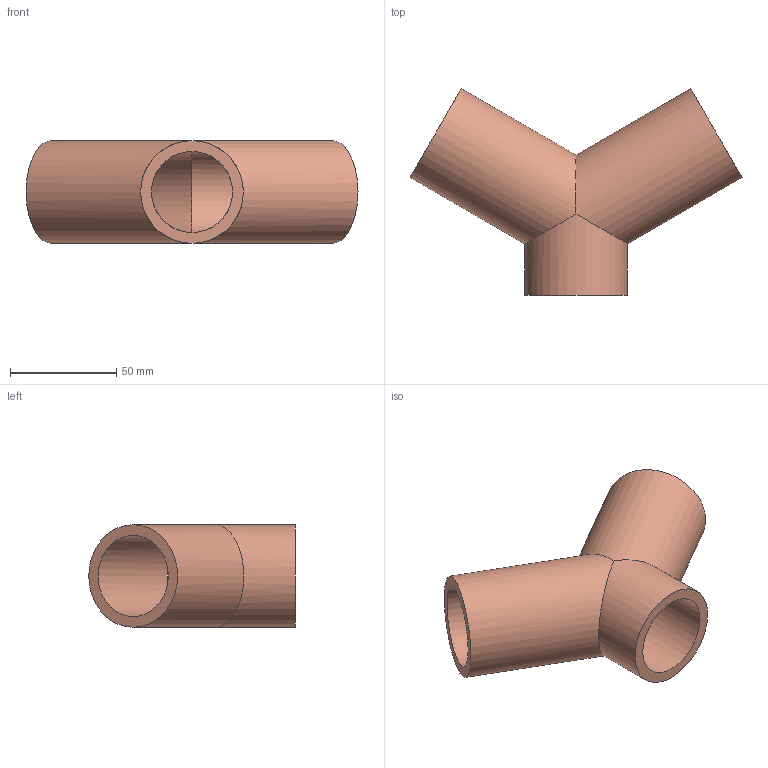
import cadquery as cq
import math

outer_diameter = 48.26
bore_diameter = 38.1
arm_length = 76.2
stem_length = arm_length / 2
arm_angle = 30

branches = [
    (arm_angle, arm_length),
    (180 - arm_angle, arm_length),
    (-90, stem_length),
]


def branch_cylinder(direction, length, diameter):
    """Cylinder from the origin along a direction in the XY plane."""
    angle = math.radians(direction)
    axis = cq.Vector(math.cos(angle), math.sin(angle), 0)
    return cq.Workplane(cq.Solid.makeCylinder(diameter / 2, length, cq.Vector(0, 0, 0), axis))


def joined_branches(diameter):
    """Union of the three branch cylinders, all of one diameter."""
    joined = cq.Workplane()
    for direction, length in branches:
        joined = joined.add(branch_cylinder(direction, length, diameter))
    return joined.combine()


result = joined_branches(outer_diameter).cut(joined_branches(bore_diameter))